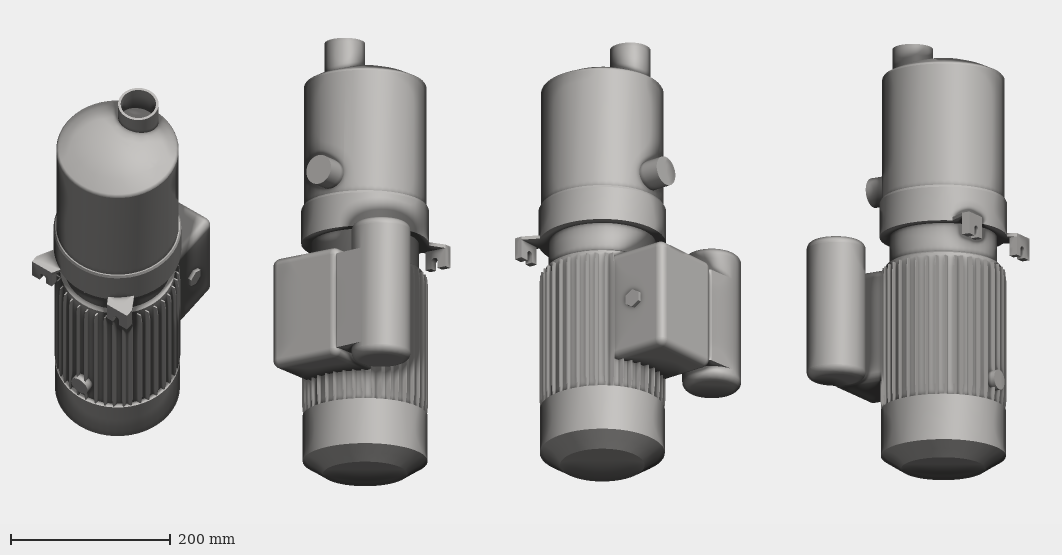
import cadquery as cq
import math

TOTAL_HEIGHT = 552.0
COVER_CONE_TOP = 16.5
FIN_BOTTOM = 75.5
FIN_TOP = 256.5
RING_CHAMFER_BOTTOM = 261.5
RING_TOP = 265.0
FLANGE_BOTTOM = 301.0
FLANGE_TOP = 348.0
TANK_EDGE = 505.5
DOME_APEX = 529.0

COVER_BASE_RADIUS = 53.0
COVER_RADIUS = 78.5
CORE_RADIUS = 72.5
NECK_RADIUS = 67.5
FLANGE_RADIUS = 80.0
FLANGE_CHAMFER_WIDTH = 1.5
FLANGE_CHAMFER_HEIGHT = 3.5
TANK_RADIUS = 77.0
SHOULDER_RADIUS = 5.5
DOME_EDGE_RADIUS = 73.5
DOME_EDGE_HEIGHT = 509.5

FIN_THICKNESS = 1.5
FIN_OFFSETS = (6.0, 19.5, 31.0, 41.0, 51.0)
FIN_RADIUS = 79.0
FIN_END_SETBACK = 1.5
FIN_END_TAPER = 13.0

OUTLET_Y = 44.5
OUTLET_RADIUS = 25.5
OUTLET_BORE_RADIUS = 22.0
INLET_HEIGHT = 373.0
INLET_RADIUS = 19.0
INLET_END_Y = 102.0

FRONT_Y = -81.5
FOOT_TOP = 305.0
FOOT_BOTTOM = 277.0
FOOT_OUTER_X = 73.5
FOOT_INNER_X = 42.5
FOOT_PAD_THICKNESS = 10.5
FOOT_SLOT_X = 56.5
FOOT_SLOT_WIDTH = 9.5
FOOT_SLOT_TOP = 291.0
FOOT_LEAN = 0.55
FOOT_ROOT_Y = -47.0

PLUG_HEIGHT = 104.5
PLUG_RADIUS = 12.5

BOX_WIDTH = 100.5
BOX_FRONT_Y = 33.0
BOX_BACK_Y = 136.0
BOX_BOTTOM = 113.5
BOX_ROUNDING = 10.0
GLAND_Y = 91.5
GLAND_ACROSS_FLATS = 20.5
GLAND_LENGTH = 5.0

CAN_X = -94.0
CAN_Y = 100.5
CAN_RADIUS = 37.0
CAN_BOTTOM = 107.5
CAN_TOP = 286.5
CAN_ROUNDING = 10.0
BRACKET_BACK_Y = 134.5


def cylinder(radius, bottom, top, x=0.0, y=0.0):
    return cq.Workplane("XY", origin=(x, y, bottom)).circle(radius).extrude(top - bottom)


def make_body():
    """Fan cover, motor core, neck, flange and domed tank as one turned solid."""
    dome_rise = DOME_APEX - DOME_EDGE_HEIGHT
    dome_radius = (DOME_EDGE_RADIUS**2 + dome_rise**2) / (2 * dome_rise)
    half_angle = math.asin(DOME_EDGE_RADIUS / dome_radius) / 2
    dome_mid = (
        dome_radius * math.sin(half_angle),
        DOME_APEX - dome_radius * (1 - math.cos(half_angle)),
    )
    return (
        cq.Workplane("XZ")
        .moveTo(0, 0)
        .lineTo(COVER_BASE_RADIUS, 0)
        .lineTo(COVER_RADIUS, COVER_CONE_TOP)
        .lineTo(COVER_RADIUS, FIN_BOTTOM)
        .lineTo(CORE_RADIUS, FIN_BOTTOM)
        .lineTo(CORE_RADIUS, RING_CHAMFER_BOTTOM)
        .lineTo(NECK_RADIUS, RING_TOP)
        .lineTo(NECK_RADIUS, FLANGE_BOTTOM)
        .lineTo(FLANGE_RADIUS, FLANGE_BOTTOM)
        .lineTo(FLANGE_RADIUS, FLANGE_TOP - FLANGE_CHAMFER_HEIGHT)
        .lineTo(FLANGE_RADIUS - FLANGE_CHAMFER_WIDTH, FLANGE_TOP)
        .lineTo(TANK_RADIUS, FLANGE_TOP)
        .lineTo(TANK_RADIUS, TANK_EDGE)
        .radiusArc((DOME_EDGE_RADIUS, DOME_EDGE_HEIGHT), -SHOULDER_RADIUS)
        .threePointArc(dome_mid, (0, DOME_APEX))
        .close()
        .revolve(360, (0, 0), (0, 1))
    )


def make_fin_plate(offset):
    """Plate through the core at the given X, reaching the fin circle at both Y ends."""
    tip = math.sqrt(FIN_RADIUS**2 - (offset + FIN_THICKNESS / 2) ** 2)
    end_tip = tip - FIN_END_SETBACK
    return (
        cq.Workplane("YZ", origin=(offset - FIN_THICKNESS / 2, 0, 0))
        .moveTo(end_tip, FIN_BOTTOM)
        .lineTo(tip, FIN_BOTTOM + FIN_END_TAPER)
        .lineTo(tip, FIN_TOP - FIN_END_TAPER)
        .lineTo(end_tip, FIN_TOP)
        .lineTo(-end_tip, FIN_TOP)
        .lineTo(-tip, FIN_TOP - FIN_END_TAPER)
        .lineTo(-tip, FIN_BOTTOM + FIN_END_TAPER)
        .lineTo(-end_tip, FIN_BOTTOM)
        .close()
        .extrude(FIN_THICKNESS)
    )


def make_fins():
    """Parallel plates, repeated at every quarter turn."""
    fins = cq.Workplane("XY")
    for offset in FIN_OFFSETS:
        plate = make_fin_plate(offset)
        for angle in (0, 90, 180, 270):
            fins = fins.union(plate.rotate((0, 0, 0), (0, 0, 1), angle))
    return fins


def make_outlet(body):
    """Vertical pipe standing on the dome, open down to the dome surface."""
    outer = cylinder(OUTLET_RADIUS, TANK_EDGE, TOTAL_HEIGHT, y=OUTLET_Y)
    bore = cylinder(OUTLET_BORE_RADIUS, TANK_EDGE, TOTAL_HEIGHT, y=OUTLET_Y)
    return outer.cut(bore.cut(body))


def make_inlet():
    return cq.Workplane("XZ", origin=(0, 0, INLET_HEIGHT)).circle(INLET_RADIUS).extrude(-INLET_END_Y)


def make_foot():
    """Foot on the +X side: leaning top plate plus a slotted vertical pad."""
    pad_back_y = FRONT_Y + FOOT_PAD_THICKNESS
    plate = (
        cq.Workplane("XY", origin=(0, 0, FLANGE_BOTTOM))
        .moveTo(FOOT_INNER_X, FRONT_Y)
        .lineTo(FOOT_OUTER_X, FRONT_Y)
        .lineTo(FOOT_OUTER_X, pad_back_y)
        .lineTo(FOOT_OUTER_X - FOOT_LEAN * (FOOT_ROOT_Y - pad_back_y), FOOT_ROOT_Y)
        .lineTo(FOOT_INNER_X - FOOT_LEAN * (FOOT_ROOT_Y - FRONT_Y), FOOT_ROOT_Y)
        .close()
        .extrude(FOOT_TOP - FLANGE_BOTTOM)
    )
    pad = cq.Workplane("XY").box(
        FOOT_OUTER_X - FOOT_INNER_X, FOOT_PAD_THICKNESS, FOOT_TOP - FOOT_BOTTOM, centered=False
    )
    pad = pad.translate((FOOT_INNER_X, FRONT_Y, FOOT_BOTTOM))
    slot_radius = FOOT_SLOT_WIDTH / 2
    slot_left = FOOT_SLOT_X - slot_radius
    slot_right = FOOT_SLOT_X + slot_radius
    slot = (
        cq.Workplane("XZ", origin=(0, FRONT_Y, 0))
        .moveTo(slot_left, FOOT_BOTTOM)
        .lineTo(slot_right, FOOT_BOTTOM)
        .lineTo(slot_right, FOOT_SLOT_TOP - slot_radius)
        .threePointArc((FOOT_SLOT_X, FOOT_SLOT_TOP), (slot_left, FOOT_SLOT_TOP - slot_radius))
        .close()
        .extrude(-FOOT_PAD_THICKNESS)
    )
    return plate.union(pad).cut(slot)


def make_plug():
    return cq.Workplane("XZ", origin=(0, 0, PLUG_HEIGHT)).circle(PLUG_RADIUS).extrude(-FRONT_Y)


def make_terminal_box():
    """Rounded box with its cable gland, a hexagon with a corner pointing up."""
    height = FIN_TOP - BOX_BOTTOM
    box = (
        cq.Workplane("XY")
        .box(BOX_WIDTH, BOX_BACK_Y - BOX_FRONT_Y, height, centered=(True, False, False))
        .translate((0, BOX_FRONT_Y, BOX_BOTTOM))
        .faces(">Y or >Z or <Z")
        .edges("not <Y")
        .fillet(BOX_ROUNDING)
    )
    gland = (
        cq.Workplane("YZ", origin=(BOX_WIDTH / 2, GLAND_Y, BOX_BOTTOM + height / 2))
        .polygon(6, GLAND_ACROSS_FLATS / math.cos(math.pi / 6))
        .extrude(GLAND_LENGTH)
        .rotate((0, GLAND_Y, BOX_BOTTOM + height / 2), (1, GLAND_Y, BOX_BOTTOM + height / 2), 90)
    )
    return box.union(gland)


def make_capacitor():
    """Round-ended can with a bracket whose back face runs off the can to the box."""
    can = cylinder(CAN_RADIUS, CAN_BOTTOM, CAN_TOP, CAN_X, CAN_Y).edges().fillet(CAN_ROUNDING)
    box_side_x = -BOX_WIDTH / 2
    bracket_end_x = box_side_x + BOX_ROUNDING
    bracket = (
        cq.Workplane("XY", origin=(0, 0, BOX_BOTTOM + BOX_ROUNDING))
        .moveTo(CAN_X, CAN_Y)
        .lineTo(bracket_end_x, CAN_Y)
        .lineTo(bracket_end_x, BOX_BACK_Y - BOX_ROUNDING)
        .lineTo(box_side_x, BRACKET_BACK_Y)
        .lineTo(CAN_X, CAN_Y + CAN_RADIUS)
        .close()
        .extrude(FIN_TOP - BOX_BOTTOM - 2 * BOX_ROUNDING)
    )
    return can.union(bracket)


body = make_body()
right_foot = make_foot()
left_foot = right_foot.mirror("YZ")

result = (
    body.union(make_fins())
    .union(make_outlet(body))
    .union(make_inlet())
    .union(right_foot)
    .union(left_foot)
    .union(make_plug())
    .union(make_terminal_box())
    .union(make_capacitor())
)